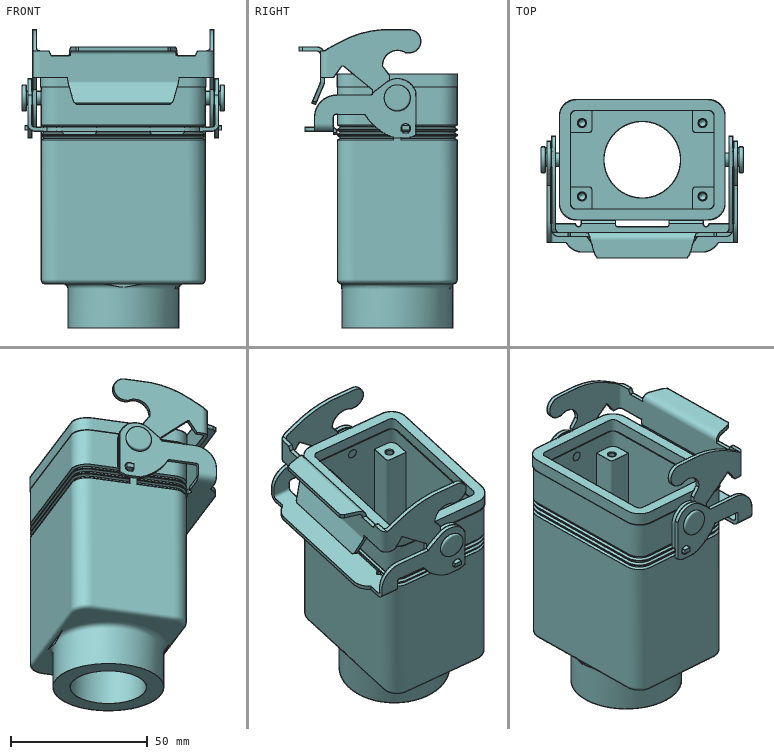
import cadquery as cq
import math

clearance = 1.1

half_width = 30.0
half_depth = 21.9
corner_radius = 6.1
floor_bottom = 16.1
bottom_fillet = 1.5
rim_bottom = 88.0
rim_top = 92.9
rim_half_width = 30.3
rim_half_depth = 22.0

opening_half_width = 26.2
opening_half_depth = 18.0
opening_corner_radius = 2.0
cavity_undercut = 0.3
cavity_corner_radius = 2.9
floor_thickness = 3.8

neck_radius = 20.3
neck_flare_radius = 1.9
bore_radius = 14.0

groove_count = 3
grooves_top = 74.2
groove_width = 1.6
groove_floor_width = 0.5
groove_depth = 0.9
groove_gap = 0.3
rib_width = 2.8

post_top = 81.3
post_width = 7.7
post_depth = 8.1
post_corner_radius = 1.1
screw_x = 22.0
screw_y = 13.4
screw_radius = 1.3
screw_mouth_radius = 1.6
screw_depth = 8.7
drill_tip_height = 1.0

sheet = 1.5
pivot_z = 84.0
rivet_radius = 2.5
rivet_spigot_radius = 1.7
rivet_head_radius = 4.8
rivet_head_thickness = 1.6
rivet_head_fillet = 0.5
overall_width = 74.0
rivet_end_x = overall_width / 2

latch_half_width = 33.1
latch_front = -28.1
latch_bend_radius = 2.8
latch_front_bottom = 91.5
latch_front_top = 101.3
latch_notch_z = 99.5
latch_notch_half_width = 26.3
latch_tail_bottom = 72.3
latch_tail_radius = 10.1
latch_back = 6.8
hook_radius = 4.3
hook_y = 4.4
hook_underside_end = 3.0
throat_middle = (-1.9, 101.0)
throat_end = (-5.3, 95.6)
neck_back = -2.8
neck_shoulder = (-3.2, 92.8)
neck_shoulder_z = 92.1
peak_y = -19.7
peak_width = 0.5
peak_z = 95.7
wedge_front = -23.3
crown_start = -5.6
crown_middle = (-14.6, 107.3)
crown_end = (-21.3, 104.3)
latch_corner_z = 102.1
latch_front_corner = -26.6
tail_front = -9.2
tail_front_z = 87.1
tail_corner_y = 4.9
tail_corner_z = 74.1
tail_back_mid = (4.8, 88.8)
latch_top = 109.0

tab_half_width = 19.7
tab_corner_half_width = 17.3
tab_tip_half_width = 16.4
tab_corner_y = -34.7
tab_top = 102.7
tab_tip = -36.0
tab_bend_radius = 2.8
flap_root_half_width = 20.4
flap_bend_half_width = 20.2
flap_corner_half_width = 18.2
flap_tip_half_width = 17.0
flap_corner_z = 82.7
flap_bend_z = 89.7
flap_bend_radius = 1.6
flap_tip_z = 81.6
flap_tip_y = -31.3

stop_y = 3.0
stop_width = 2.7
stop_thickness = 1.6
stop_end_x = 36.0
window_radius = 1.7
window_z = 72.9

handle_half_width = 34.9
handle_eye_radius = 7.1
handle_back = 6.8
handle_bend_radius = 2.7
handle_bottom = 71.8
handle_tail_bottom = 69.4
handle_tail_back = 4.4
handle_tail_front = -1.1
handle_corner_z = 70.4
eye_end = (-3.5, 90.1)
slope_end = (-8.6, 86.2)
arm_top_start = -9.5
arm_top_end = -22.1
arm_bottom_start = -11.9
elbow_middle = (-27.9, 82.7)
elbow_end_z = 77.0
tail_curve_middle = (-7.2, 72.7)
arm_top = 85.1
arm_bottom = 78.0
arm_back = -23.3
arm_front = -30.3
arm_inner_radius = 0.9
grip_front = -33.8
grip_shoulder_x = 27.8
grip_front_half_width = 22.5
grip_curve_x = 25.6
grip_curve_y = -32.6
grip_slot_half_width = 9.7
grip_slot_depth = 1.1
grip_slot_fillet = 0.5
relief_x = 23.3
relief_radius = 1.0
relief_offset = 0.1
lip_height = 2.6
lip_back = -22.1
lip_slope = 0.9
lip_bottom_taper = 0.7


def rounded_box(half_x, half_y, radius, bottom, top):
    return (
        cq.Workplane("XY", origin=(0, 0, bottom))
        .rect(2 * half_x, 2 * half_y)
        .extrude(top - bottom)
        .edges("|Z")
        .fillet(radius)
    )


def with_mirror_x(shape):
    return shape.union(shape.mirror("YZ"))



def neck():
    flare_top_radius = neck_radius + neck_flare_radius
    flare_bottom = floor_bottom - neck_flare_radius
    arc_offset = neck_flare_radius * math.sqrt(0.5)
    flared = (
        cq.Workplane("XZ")
        .lineTo(neck_radius, 0)
        .lineTo(neck_radius, flare_bottom)
        .threePointArc(
            (flare_top_radius - arc_offset, flare_bottom + arc_offset),
            (flare_top_radius, floor_bottom),
        )
        .lineTo(0, floor_bottom)
        .close()
        .revolve(360, (0, 0, 0), (0, 1, 0))
    )
    flat_bottom = cq.Workplane("XY").box(
        2 * half_width, 2 * (half_depth - bottom_fillet), 2 * floor_bottom
    )
    column = cq.Workplane("XY").circle(neck_radius).extrude(floor_bottom + bottom_fillet)
    return flared.intersect(flat_bottom).union(column)


def groove_ring(top):
    """A trapezoidal ring: the material one groove removes from the outside."""
    middle = top - groove_width / 2
    slope_height = (groove_width - groove_floor_width) / 2
    outer = rounded_box(
        half_width + clearance, half_depth + clearance, corner_radius,
        middle - groove_width / 2, middle + groove_width / 2,
    )
    floor_half_width = half_width - groove_depth
    floor_half_depth = half_depth - groove_depth
    floor_radius = corner_radius - groove_depth
    core = rounded_box(
        floor_half_width, floor_half_depth, floor_radius,
        middle - groove_floor_width / 2, middle + groove_floor_width / 2,
    )
    taper = math.degrees(math.atan(groove_depth / slope_height))
    for direction in (1, -1):
        flank = (
            cq.Workplane("XY")
            .sketch()
            .rect(2 * floor_half_width, 2 * floor_half_depth)
            .vertices()
            .fillet(floor_radius)
            .finalize()
            .extrude(slope_height, taper=-taper)
        )
        if direction < 0:
            flank = flank.mirror("XY")
        core = core.union(flank.translate((0, 0, middle + direction * groove_floor_width / 2)))
    return outer.cut(core)


def screw_post(side_x, side_y):
    outer_x = opening_half_width + cavity_undercut
    outer_y = opening_half_depth + cavity_undercut
    size_x = post_width + cavity_undercut
    size_y = post_depth + cavity_undercut
    floor_top = floor_bottom + floor_thickness
    post = (
        cq.Workplane("XY", origin=(outer_x - size_x / 2, outer_y - size_y / 2, floor_top))
        .rect(size_x, size_y)
        .extrude(post_top - floor_top)
        .edges("|Z and <X and <Y")
        .fillet(post_corner_radius)
    )
    hole_bottom = post_top - screw_depth
    hole = (
        cq.Workplane("XZ", origin=(screw_x, screw_y, 0))
        .moveTo(0, hole_bottom - drill_tip_height)
        .lineTo(screw_radius, hole_bottom)
        .lineTo(screw_radius, post_top - screw_mouth_radius + screw_radius)
        .lineTo(screw_mouth_radius, post_top)
        .lineTo(0, post_top)
        .close()
        .revolve(360, (0, 0, 0), (0, 1, 0))
    )
    post = post.cut(hole)
    if side_x < 0:
        post = post.mirror("YZ")
    if side_y < 0:
        post = post.mirror("XZ")
    return post


def make_hood():
    body = rounded_box(half_width, half_depth, corner_radius, floor_bottom, rim_bottom)
    body = body.faces("<Z").edges().fillet(bottom_fillet)
    rim = rounded_box(rim_half_width, rim_half_depth, corner_radius, rim_bottom, rim_top)
    hood = body.union(rim).union(neck())

    grooves = None
    for index in range(groove_count):
        ring = groove_ring(grooves_top - index * (groove_width + groove_gap))
        grooves = ring if grooves is None else grooves.union(ring)
    grooves = grooves.cut(cq.Workplane("XY").box(4 * half_width, rib_width, 4 * rim_top))
    hood = hood.cut(grooves)

    opening = rounded_box(
        opening_half_width, opening_half_depth, opening_corner_radius, rim_bottom, rim_top
    )
    cavity = rounded_box(
        opening_half_width + cavity_undercut,
        opening_half_depth + cavity_undercut,
        cavity_corner_radius,
        floor_bottom + floor_thickness,
        rim_bottom,
    )
    hood = hood.cut(opening).cut(cavity)
    hood = hood.cut(cq.Workplane("XY").circle(bore_radius).extrude(rim_top))
    for side_x in (1, -1):
        for side_y in (1, -1):
            hood = hood.union(screw_post(side_x, side_y))

    spigot_holes = (
        cq.Workplane("YZ", origin=(-rim_half_width, 0, 0))
        .center(0, pivot_z)
        .circle(rivet_spigot_radius)
        .extrude(2 * rim_half_width)
    )
    return hood.cut(spigot_holes)



def rivets():
    spigot_start = opening_half_width + cavity_undercut
    shaft = (
        cq.Workplane("YZ", origin=(half_width, 0, 0))
        .center(0, pivot_z)
        .circle(rivet_radius)
        .extrude(rivet_end_x - rivet_head_thickness - half_width)
    )
    spigot = (
        cq.Workplane("YZ", origin=(spigot_start, 0, 0))
        .center(0, pivot_z)
        .circle(rivet_spigot_radius)
        .extrude(half_width - spigot_start)
    )
    head = (
        cq.Workplane("YZ", origin=(rivet_end_x - rivet_head_thickness, 0, 0))
        .center(0, pivot_z)
        .circle(rivet_head_radius)
        .extrude(rivet_head_thickness)
        .edges()
        .fillet(rivet_head_fillet)
    )
    return with_mirror_x(shaft.union(spigot).union(head))


def latch_side_outline():
    tail_center_y = latch_tail_radius + tail_front
    tail_center_z = latch_tail_bottom + latch_tail_radius
    tail_offset = latch_tail_radius * math.sqrt(0.5)
    return (
        cq.Workplane("YZ", origin=(-latch_half_width, 0, 0))
        .moveTo(hook_y, latch_top)
        .threePointArc((hook_y + hook_radius, latch_top - hook_radius), (hook_y, latch_top - 2 * hook_radius))
        .lineTo(hook_underside_end, latch_top - 2 * hook_radius)
        .threePointArc(throat_middle, throat_end)
        .lineTo(*neck_shoulder)
        .lineTo(neck_back, neck_shoulder_z)
        .lineTo(neck_back, pivot_z + math.sqrt(latch_back**2 - neck_back**2))
        .threePointArc(tail_back_mid, (latch_back, pivot_z))
        .lineTo(latch_back, tail_corner_z)
        .lineTo(tail_corner_y, latch_tail_bottom)
        .lineTo(tail_center_y, latch_tail_bottom)
        .threePointArc(
            (tail_center_y - tail_offset, tail_center_z - tail_offset),
            (tail_front, tail_center_z),
        )
        .lineTo(tail_front, tail_front_z)
        .lineTo(peak_y, peak_z)
        .lineTo(peak_y - peak_width, peak_z)
        .lineTo(wedge_front, latch_front_bottom)
        .lineTo(latch_front, latch_front_bottom)
        .lineTo(latch_front, latch_front_top)
        .lineTo(latch_front_corner, latch_front_top)
        .lineTo(latch_front + latch_bend_radius, latch_corner_z)
        .lineTo(*crown_end)
        .threePointArc(crown_middle, (crown_start, latch_top))
        .close()
        .extrude(2 * latch_half_width)
    )


def latch_bow():
    """Two side plates and the front plate, bent round vertical corners."""
    length = hook_y + hook_radius - latch_front + clearance
    outer = (
        cq.Workplane("XY")
        .center(0, latch_front + length / 2)
        .rect(2 * latch_half_width, length)
        .extrude(latch_top)
        .edges("|Z and <Y")
        .fillet(latch_bend_radius)
    )
    inner = (
        cq.Workplane("XY")
        .center(0, latch_front + sheet + length / 2)
        .rect(2 * (latch_half_width - sheet), length)
        .extrude(latch_top)
        .edges("|Z and <Y")
        .fillet(latch_bend_radius - sheet)
    )
    notch_depth = latch_front_top - latch_notch_z
    notch = (
        cq.Workplane("XZ")
        .moveTo(-latch_notch_half_width, latch_notch_z)
        .lineTo(latch_notch_half_width, latch_notch_z)
        .lineTo(latch_notch_half_width + notch_depth / 2, latch_front_top)
        .lineTo(-latch_notch_half_width - notch_depth / 2, latch_front_top)
        .close()
        .extrude(-latch_front)
    )
    return outer.cut(inner).intersect(latch_side_outline()).cut(notch)


def latch_upper_tab():
    inner_radius = tab_bend_radius - sheet
    back = latch_front + sheet
    bend_y = back - tab_bend_radius
    bend_z = tab_top - tab_bend_radius
    outer_mid = tab_bend_radius * math.sqrt(0.5)
    inner_mid = inner_radius * math.sqrt(0.5)
    bent = (
        cq.Workplane("YZ", origin=(-tab_half_width, 0, 0))
        .moveTo(back, latch_front_bottom)
        .lineTo(back, bend_z)
        .threePointArc((bend_y + outer_mid, bend_z + outer_mid), (bend_y, tab_top))
        .lineTo(tab_tip, tab_top)
        .lineTo(tab_tip, tab_top - sheet)
        .lineTo(bend_y, tab_top - sheet)
        .threePointArc((bend_y + inner_mid, bend_z + inner_mid), (latch_front, bend_z))
        .lineTo(latch_front, latch_front_bottom)
        .close()
        .extrude(2 * tab_half_width)
    )
    outline = (
        cq.Workplane("XY")
        .polyline([
            (-tab_half_width, back), (-tab_corner_half_width, tab_corner_y), (-tab_tip_half_width, tab_tip),
            (tab_tip_half_width, tab_tip), (tab_corner_half_width, tab_corner_y), (tab_half_width, back),
        ])
        .close()
        .extrude(latch_top)
    )
    return bent.intersect(outline)


def latch_lower_flap():
    back = latch_front + sheet
    lean = math.atan2(latch_front - flap_tip_y, flap_bend_z - flap_tip_z)
    step_y = sheet * math.cos(lean)
    step_z = sheet * math.sin(lean)
    tangent = flap_bend_radius * math.tan(lean / 2)
    bulge = flap_bend_radius * (1 - math.cos(lean / 2))
    bend_start = flap_bend_z + tangent
    back_bend_z = flap_bend_z - sheet * math.tan(lean / 2)
    bent = (
        cq.Workplane("YZ", origin=(-flap_root_half_width, 0, 0))
        .moveTo(back, latch_front_bottom)
        .lineTo(latch_front, latch_front_bottom)
        .lineTo(latch_front, bend_start)
        .threePointArc(
            (latch_front - bulge, bend_start - flap_bend_radius * math.sin(lean / 2)),
            (latch_front - tangent * math.sin(lean), flap_bend_z - tangent * math.cos(lean)),
        )
        .lineTo(flap_tip_y, flap_tip_z + step_z)
        .lineTo(flap_tip_y + step_y, flap_tip_z)
        .lineTo(back, back_bend_z)
        .close()
        .extrude(2 * flap_root_half_width)
    )
    half_outline = [
        (flap_root_half_width, latch_front_bottom),
        (flap_bend_half_width, flap_bend_z),
        (flap_corner_half_width, flap_corner_z),
        (flap_tip_half_width, flap_tip_z),
    ]
    mirrored = [(-x, z) for x, z in reversed(half_outline)]
    outline = cq.Workplane("XZ").polyline(half_outline + mirrored).close().extrude(clearance - flap_tip_y)
    return bent.intersect(outline)


def latch_stops():
    start_x = latch_half_width - sheet
    stop = (
        cq.Workplane("XY", origin=(start_x, stop_y, latch_tail_bottom))
        .box(stop_end_x - start_x, stop_width, stop_thickness, centered=(False, True, False))
    )
    return with_mirror_x(stop)


def handle_sides():
    plate = (
        cq.Workplane("YZ", origin=(handle_half_width - sheet, 0, 0))
        .moveTo(handle_back, handle_corner_z)
        .lineTo(handle_back, pivot_z + math.sqrt(handle_eye_radius**2 - handle_back**2))
        .threePointArc((0, pivot_z + handle_eye_radius), eye_end)
        .lineTo(*slope_end)
        .lineTo(arm_top_start, arm_top)
        .lineTo(arm_top_end, arm_top)
        .threePointArc(elbow_middle, (arm_front, elbow_end_z))
        .lineTo(arm_front, handle_bottom + handle_bend_radius)
        .lineTo(arm_back, handle_bottom + handle_bend_radius)
        .lineTo(arm_back, arm_bottom - arm_inner_radius)
        .radiusArc((arm_back + arm_inner_radius, arm_bottom), arm_inner_radius)
        .lineTo(arm_bottom_start, arm_bottom)
        .threePointArc(tail_curve_middle, (handle_tail_front, handle_tail_bottom))
        .lineTo(handle_tail_back, handle_tail_bottom)
        .close()
        .extrude(sheet)
    )
    window = (
        cq.Workplane("YZ", origin=(latch_half_width, 0, 0))
        .center(stop_y, window_z)
        .circle(window_radius)
        .extrude(2 * sheet)
    )
    return with_mirror_x(plate.cut(window))


def handle_bends():
    """The arms' lower ends and the grip plate between them, as one bent channel."""
    height = 2 * handle_bend_radius
    length = arm_back - arm_front
    outer = (
        cq.Workplane("XZ", origin=(0, arm_back, 0))
        .center(0, handle_bottom + height / 2)
        .rect(2 * handle_half_width, height)
        .extrude(length)
        .edges("|Y and <Z")
        .fillet(handle_bend_radius)
    )
    inner = (
        cq.Workplane("XZ", origin=(0, arm_back, 0))
        .center(0, handle_bottom + sheet + height / 2)
        .rect(2 * (handle_half_width - sheet), height)
        .extrude(length)
        .edges("|Y and <Z")
        .fillet(handle_bend_radius - sheet)
    )
    lower_half = (
        cq.Workplane("XY", origin=(0, 0, handle_bottom))
        .rect(4 * half_width, 4 * half_width)
        .extrude(handle_bend_radius)
    )
    return outer.cut(inner).intersect(lower_half)


def handle_grip():
    """The part of the grip plate in front of the arms."""
    return (
        cq.Workplane("XY", origin=(0, 0, handle_bottom))
        .moveTo(grip_shoulder_x, arm_front)
        .threePointArc((grip_curve_x, grip_curve_y), (grip_front_half_width, grip_front))
        .lineTo(-grip_front_half_width, grip_front)
        .threePointArc((-grip_curve_x, grip_curve_y), (-grip_shoulder_x, arm_front))
        .close()
        .extrude(sheet)
    )


def handle_lips():
    """Lips turned down towards the hood, one on either side of the middle slot."""
    top = handle_bottom + sheet
    outer_x = relief_x - relief_radius
    lip = (
        cq.Workplane("YZ", origin=(grip_slot_half_width, 0, 0))
        .polyline([
            (arm_back - sheet / 2, top), (arm_back, top), (lip_back, top - lip_slope),
            (lip_back, top - lip_height), (arm_back, top - lip_height), (arm_back, handle_bottom),
            (arm_back - sheet / 2, handle_bottom),
        ])
        .close()
        .extrude(outer_x - grip_slot_half_width)
        .edges("|Y and <Z")
        .chamfer(lip_bottom_taper)
    )
    return with_mirror_x(lip)


def handle_cutouts():
    slot = (
        cq.Workplane("XY", origin=(0, arm_back, handle_bottom - clearance))
        .rect(2 * grip_slot_half_width, 2 * grip_slot_depth)
        .extrude(sheet + 2 * clearance)
        .edges("|Z and <Y")
        .fillet(grip_slot_fillet)
    )
    reliefs = (
        cq.Workplane("XY", origin=(0, arm_back - relief_offset, handle_bottom - clearance))
        .pushPoints([(-relief_x, 0), (relief_x, 0)])
        .circle(relief_radius)
        .extrude(sheet + 2 * clearance)
    )
    return slot.union(reliefs)


def make_locking_assembly():
    latch = latch_bow().union(latch_upper_tab()).union(latch_lower_flap()).union(latch_stops())
    grip = handle_bends().union(handle_grip()).cut(handle_cutouts())
    handle = handle_sides().union(grip).union(handle_lips())
    return rivets().union(latch).union(handle)


hood = make_hood()
locking_assembly = make_locking_assembly()
result = cq.Compound.makeCompound([hood.val(), locking_assembly.val()])